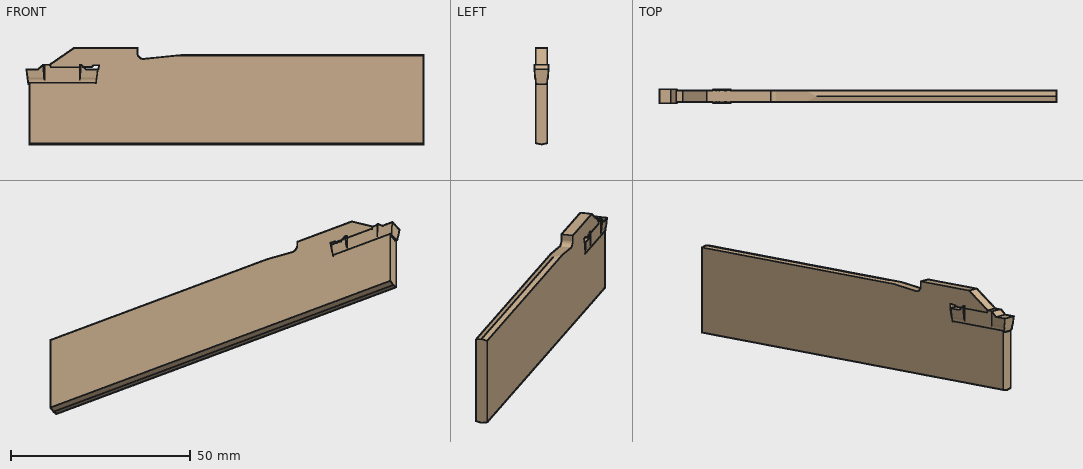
import cadquery as cq

BLADE_END_X = 111.0
BLADE_FRONT_X = 0.9
BLADE_THICKNESS = 3.3
HEAD_TOP_Z = 27.0

SHANK_RIDGE_Z = 25.1
RIDGE_HEIGHT = 0.3
RIDGE_START_X = 44.1

HEAD_FRONT_X = 13.3
HEAD_BACK_X = 31.1
NOTCH_ARC_TOP_Z = 25.3
NOTCH_ARC_MIDDLE = (31.6, 24.3)
RAMP_START = (33.1, 24.0)

INSERT_LENGTH = 20.0
INSERT_WIDTH = 4.0
CUTTING_EDGE_Z = 21.0
RAKE_END_X = 3.2
PEAK_X = 4.8
PEAK_END_X = 6.5
PEAK_Z = 22.3
HEAD_STEP_X = 5.1
END_CLEARANCE = 0.5
FLANK_BREAK_Z = 18.6
FLANK_BOTTOM_Z = 18.1
FLANK_TAPER = 0.17

SEAT_START_X = 6.9
SEAT_TOP_Z = 21.6
SEAT_FLOOR_Z = 17.3
KEEL_DEPTH = 0.4
KEEL_INSET = 0.4

POCKET_START_X = 18.3
POCKET_STEP_X = 18.8
POCKET_TOP_Z = 22.1
POCKET_END_X = 20.3
POCKET_CORNER_X = 20.1

HALF_BLADE = BLADE_THICKNESS / 2
HALF_INSERT = INSERT_WIDTH / 2
KEEL_Z = SEAT_FLOOR_Z - KEEL_DEPTH
INSERT_LOWER_END_X = INSERT_LENGTH - END_CLEARANCE
RAKE_RUN = PEAK_X - RAKE_END_X
SEAT_EXIT_X = INSERT_LENGTH - RAKE_END_X - RAKE_RUN * (
    (SEAT_TOP_Z - CUTTING_EDGE_Z) / (PEAK_Z - CUTTING_EDGE_Z)
)


def end_face_x(z):
    """X of the sloped front end face of the insert at height z."""
    return END_CLEARANCE * (CUTTING_EDGE_Z - z) / (CUTTING_EDGE_Z - KEEL_Z)


def prism_across(outline, width):
    """Extrude an XZ outline symmetrically about the Y = 0 plane."""
    return outline.close().extrude(width / 2, both=True)


def prism_along(points, start_x, end_x):
    """Extrude a YZ polygon between two X positions."""
    return cq.Workplane("YZ", origin=(start_x, 0, 0)).polyline(points).close().extrude(end_x - start_x)


def edge_bevel(side, ridge_z, direction, start_x):
    """Cutting wedge for one side of a ridge that points up (1) or down (-1)."""
    points = [
        (0, ridge_z),
        (side * HALF_BLADE, ridge_z - direction * RIDGE_HEIGHT),
        (side * HALF_BLADE, ridge_z),
    ]
    return prism_along(points, start_x, BLADE_END_X)


def make_insert_core():
    """Body of the insert, flush with the blade sides and with a tapered keel."""
    outline = cq.Workplane("XZ").polyline([
        (END_CLEARANCE, KEEL_Z),
        (0, CUTTING_EDGE_Z),
        (RAKE_END_X, CUTTING_EDGE_Z),
        (PEAK_X, PEAK_Z),
        (PEAK_END_X, PEAK_Z),
        (SEAT_START_X, SEAT_TOP_Z),
        (SEAT_EXIT_X, SEAT_TOP_Z),
        (INSERT_LENGTH - RAKE_END_X, CUTTING_EDGE_Z),
        (INSERT_LENGTH, CUTTING_EDGE_Z),
        (INSERT_LOWER_END_X, KEEL_Z),
    ])
    core = prism_across(outline, BLADE_THICKNESS)
    section = [
        (-HALF_BLADE, PEAK_Z),
        (-HALF_BLADE, SEAT_FLOOR_Z),
        (-HALF_BLADE + KEEL_INSET, KEEL_Z),
        (HALF_BLADE - KEEL_INSET, KEEL_Z),
        (HALF_BLADE, SEAT_FLOOR_Z),
        (HALF_BLADE, PEAK_Z),
    ]
    return core.intersect(prism_along(section, 0, INSERT_LENGTH))


def make_cutting_flank(side):
    """Front-end side flank that widens the insert beyond the blade."""
    outline = cq.Workplane("XZ").polyline([
        (end_face_x(FLANK_BOTTOM_Z), FLANK_BOTTOM_Z),
        (0, CUTTING_EDGE_Z),
        (RAKE_END_X, CUTTING_EDGE_Z),
        (PEAK_X, PEAK_Z),
        (HEAD_STEP_X, PEAK_Z),
        (HEAD_STEP_X, FLANK_BOTTOM_Z),
    ])
    profile = prism_across(outline, INSERT_WIDTH)
    section = [
        (side * HALF_BLADE, PEAK_Z),
        (side * HALF_INSERT, PEAK_Z),
        (side * HALF_INSERT, CUTTING_EDGE_Z),
        (side * (HALF_INSERT - FLANK_TAPER), FLANK_BREAK_Z),
        (side * HALF_BLADE, FLANK_BOTTOM_Z),
    ]
    flank = profile.intersect(prism_along(section, 0, HEAD_STEP_X))
    blend = (
        cq.Workplane("XY", origin=(0, 0, FLANK_BOTTOM_Z))
        .polyline([
            (PEAK_X, side * HALF_INSERT),
            (HEAD_STEP_X, side * HALF_INSERT),
            (HEAD_STEP_X, side * HALF_BLADE),
        ])
        .close()
        .extrude(PEAK_Z - FLANK_BOTTOM_Z)
    )
    return flank.cut(blend)


def make_insert():
    insert = make_insert_core()
    for side in (-1, 1):
        front_flank = make_cutting_flank(side)
        rear_flank = front_flank.mirror("YZ", (INSERT_LENGTH / 2, 0, 0))
        insert = insert.union(front_flank).union(rear_flank)
    return insert


def make_blade(insert):
    """Blade with its clamping head, shank ridges and insert seat."""
    outline = (
        cq.Workplane("XZ")
        .moveTo(BLADE_FRONT_X, 0)
        .lineTo(BLADE_END_X, 0)
        .lineTo(BLADE_END_X, SHANK_RIDGE_Z)
        .lineTo(RIDGE_START_X, SHANK_RIDGE_Z)
        .lineTo(*RAMP_START)
        .threePointArc(NOTCH_ARC_MIDDLE, (HEAD_BACK_X, NOTCH_ARC_TOP_Z))
        .lineTo(HEAD_BACK_X, HEAD_TOP_Z)
        .lineTo(HEAD_FRONT_X, HEAD_TOP_Z)
        .lineTo(PEAK_END_X, PEAK_Z)
        .lineTo(SEAT_START_X, SEAT_TOP_Z)
        .lineTo(POCKET_START_X, SEAT_TOP_Z)
        .lineTo(POCKET_STEP_X, POCKET_TOP_Z)
        .lineTo(POCKET_END_X, POCKET_TOP_Z)
        .lineTo(POCKET_CORNER_X, CUTTING_EDGE_Z)
        .lineTo(INSERT_LENGTH, CUTTING_EDGE_Z)
        .lineTo(INSERT_LENGTH - end_face_x(SEAT_FLOOR_Z), SEAT_FLOOR_Z)
        .lineTo(BLADE_FRONT_X, SEAT_FLOOR_Z)
    )
    blade = prism_across(outline, BLADE_THICKNESS)
    for side in (-1, 1):
        blade = blade.cut(edge_bevel(side, SHANK_RIDGE_Z, 1, RAMP_START[0]))
        blade = blade.cut(edge_bevel(side, 0, -1, BLADE_FRONT_X))
    return blade.cut(insert)


insert = make_insert()
blade = make_blade(insert)

result = cq.Compound.makeCompound([blade.val(), insert.val()])